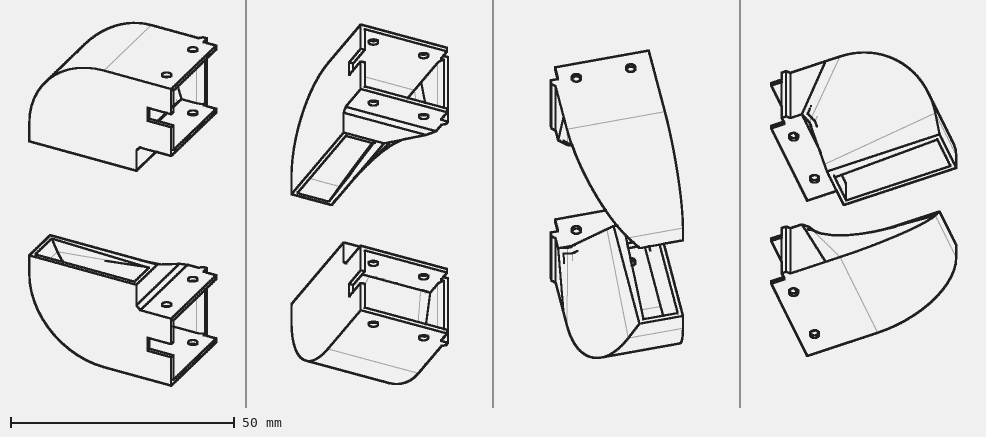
import cadquery as cq
import math

TOTAL_HEIGHT = 77.4
LENGTH = 36.0
HEIGHT = 23.85
WALL = 1.0
BEND_RADIUS = 19.0
BACK_Y = 22.45
FLOOR_BACK_Y = 10.0
OPENING_LENGTH = 27.2
THROAT_Z = 6.35
THROAT_CHAMFER = 1.0
COLLAR_X = 30.95
CAVITY_FLOOR_BACK_LEFT_Y = FLOOR_BACK_Y - 1.15
CAVITY_FLOOR_BACK_RIGHT_Y = FLOOR_BACK_Y - 2.2

LIP_END_X = 32.75
LIP_START_X = 31.65
LIP_Y = 23.2
LIP_THICKNESS = 1.0

SLOT_START_X = 29.95
UPPER_SLOT_Z = 13.85
LOWER_SLOT_Z = 13.0
SLOT_HEIGHT = 3.4

HOLE_DIAMETER = 2.1
HOLE_X = 32.2
HOLE_YS = (4.95, 17.4)

TWIST_START_X = 22.45
TWIST_END_Z = 0.8

CURVE_STEPS = 8
FLOOR_GAP = TOTAL_HEIGHT - 2 * HEIGHT


def polygon_face(points):
    return cq.Face.makeFromWires(cq.Wire.makePolygon([cq.Vector(*p) for p in points], close=True))


def bend_volume(inset, floor_left_y, floor_right_y):
    """Solid elbow whose back wall twists from the upright inlet to the floor edge."""
    left = inset
    right = OPENING_LENGTH - inset
    front = inset
    back = BACK_Y - inset
    top = HEIGHT - inset
    throat = THROAT_Z + inset
    radius = BEND_RADIUS - inset
    center_x = BEND_RADIUS
    center_z = HEIGHT - BEND_RADIUS
    throat_x = right + THROAT_CHAMFER
    chamfer_z = throat - THROAT_CHAMFER

    def outer_edge_y(z):
        return floor_left_y + (back - floor_left_y) * z / top

    def throat_edge_y(z):
        return floor_right_y + (back - floor_right_y) * z / throat

    def bend_point(step):
        angle = math.pi / 2 * (1 + step / CURVE_STEPS)
        z = center_z + radius * math.sin(angle)
        return cq.Vector(center_x + radius * math.cos(angle), outer_edge_y(z), z)

    front_floor_left = (left, front, 0)
    front_bend_low = (left, front, center_z)
    front_bend_high = (center_x, front, top)
    front_end_top = (COLLAR_X, front, top)
    front_end_low = (COLLAR_X, front, throat)
    front_throat = (throat_x, front, throat)
    front_chamfer = (right, front, chamfer_z)
    front_floor_right = (right, front, 0)
    back_floor_left = (left, floor_left_y, 0)
    back_bend_low = (left, outer_edge_y(center_z), center_z)
    back_bend_high = (center_x, back, top)
    back_twist_start = (TWIST_START_X, back, top)
    back_end_top = (COLLAR_X, back, top)
    back_end_low = (COLLAR_X, back, throat)
    back_throat = (throat_x, back, throat)
    back_chamfer = (right, throat_edge_y(chamfer_z), chamfer_z)
    back_twist_end = (right, throat_edge_y(TWIST_END_Z), TWIST_END_Z)
    back_floor_right = (right, floor_right_y, 0)

    def line(start, end):
        return cq.Edge.makeLine(cq.Vector(*start), cq.Vector(*end))

    diagonal = radius * math.sqrt(0.5)
    front_arc = cq.Edge.makeThreePointArc(
        cq.Vector(*front_bend_high),
        cq.Vector(center_x - diagonal, front, center_z + diagonal),
        cq.Vector(*front_bend_low),
    )
    back_curve = cq.Edge.makeSpline([bend_point(step) for step in range(CURVE_STEPS + 1)])

    front_outline = cq.Wire.assembleEdges([
        line(front_floor_left, front_bend_low),
        front_arc,
        line(front_bend_high, front_end_top),
        line(front_end_top, front_end_low),
        line(front_end_low, front_throat),
        line(front_throat, front_chamfer),
        line(front_chamfer, front_floor_right),
        line(front_floor_right, front_floor_left),
    ])
    faces = [
        cq.Face.makeFromWires(front_outline),
        polygon_face([front_floor_left, front_bend_low, back_bend_low, back_floor_left]),
        cq.Face.makeRuledSurface(front_arc, back_curve),
        polygon_face([front_bend_high, front_end_top, back_end_top, back_twist_start, back_bend_high]),
        polygon_face([front_end_top, front_end_low, back_end_low, back_end_top]),
        polygon_face([front_end_low, front_throat, back_throat, back_end_low]),
        polygon_face([front_throat, front_chamfer, back_chamfer, back_throat]),
        polygon_face([front_chamfer, front_floor_right, back_floor_right, back_twist_end, back_chamfer]),
        polygon_face([front_floor_left, front_floor_right, back_floor_right, back_floor_left]),
        polygon_face([back_twist_start, back_end_top, back_end_low, back_throat]),
        cq.Face.makeRuledSurface(
            line(back_twist_start, back_bend_high), line(back_throat, back_chamfer)
        ),
        cq.Face.makeRuledSurface(back_curve, line(back_chamfer, back_twist_end)),
        cq.Face.makeRuledSurface(
            line(back_bend_low, back_floor_left), line(back_twist_end, back_floor_right)
        ),
    ]
    solid = cq.Solid.makeSolid(cq.Shell.makeShell(faces)).fix()
    return cq.Workplane(obj=solid)


def collar():
    """Inlet collar with a snap lip along its back edge."""
    return (
        cq.Workplane("XY", origin=(0, 0, THROAT_Z))
        .moveTo(COLLAR_X, 0)
        .lineTo(LENGTH, 0)
        .lineTo(LENGTH, BACK_Y - WALL)
        .lineTo(LIP_END_X, BACK_Y - WALL)
        .lineTo(LIP_END_X, LIP_Y)
        .lineTo(LIP_START_X, LIP_Y)
        .lineTo(COLLAR_X, BACK_Y)
        .close()
        .extrude(HEIGHT - THROAT_Z)
    )


def collar_cavity():
    """Inlet passage; it flares outward behind the lip and leaves the back open beyond it."""
    inner_back = BACK_Y - WALL
    flare_back = LIP_Y - LIP_THICKNESS
    flare_middle = ((COLLAR_X + LIP_END_X) / 2, inner_back + (flare_back - inner_back) / 4)
    return (
        cq.Workplane("XY", origin=(0, 0, THROAT_Z + WALL))
        .moveTo(COLLAR_X, WALL)
        .lineTo(LENGTH, WALL)
        .lineTo(LENGTH, flare_back)
        .lineTo(LIP_END_X, flare_back)
        .threePointArc(flare_middle, (COLLAR_X, inner_back))
        .close()
        .extrude(HEIGHT - THROAT_Z - 2 * WALL)
    )


def front_slot(slot_z):
    """Open-ended slot through the front wall."""
    return cq.Workplane("XY").box(
        LENGTH - SLOT_START_X, WALL, SLOT_HEIGHT, centered=False
    ).translate((SLOT_START_X, 0, slot_z))


def screw_holes():
    """Holes through the upper and lower plates of the collar."""
    return (
        cq.Workplane("XY")
        .pushPoints([(HOLE_X, y) for y in HOLE_YS])
        .circle(HOLE_DIAMETER / 2)
        .extrude(HEIGHT)
    )


def duct_elbow(slot_z):
    outside = bend_volume(0, FLOOR_BACK_Y, FLOOR_BACK_Y).union(collar())
    passage = bend_volume(WALL, CAVITY_FLOOR_BACK_LEFT_Y, CAVITY_FLOOR_BACK_RIGHT_Y)
    return outside.cut(passage).cut(collar_cavity()).cut(front_slot(slot_z)).cut(screw_holes())


floor_offset = (0, 0, FLOOR_GAP / 2)
upper_elbow = duct_elbow(UPPER_SLOT_Z).translate(floor_offset)
lower_elbow = duct_elbow(LOWER_SLOT_Z).translate(floor_offset).mirror("XY")

elbow_solids = [elbow.solids().val() for elbow in (upper_elbow, lower_elbow)]
result = cq.Compound.makeCompound(elbow_solids)